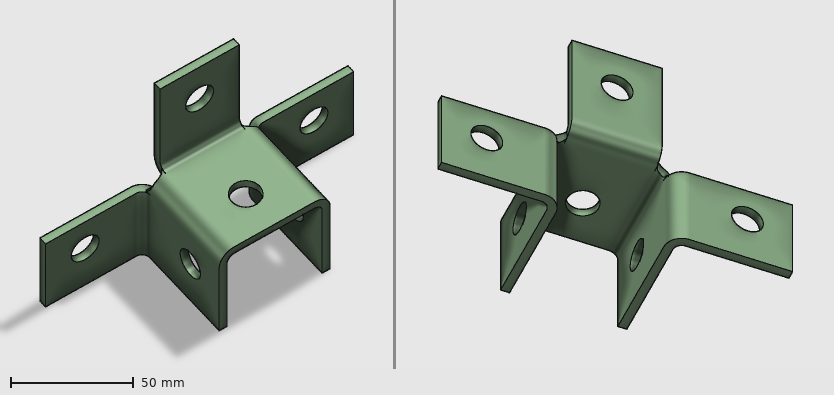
import cadquery as cq
import math

thickness = 4.0
inner_radius = 3.935
panel_width = 39.97
tab_reach = 49.715
hole_diameter = 14.0
hole_edge_distance = 20.0
wall_hole_height = 23.1
relief_radius = 3.6
relief_arc_steps = 8
relief_overshoot = 1.0
neck_start = 5.1

outer_radius = inner_radius + thickness
half_panel = panel_width / 2
half_channel = half_panel + outer_radius
length = panel_width + 2 * outer_radius
height = panel_width + outer_radius
wall_y = half_channel - thickness
roof_z = height - thickness
hole_x = length - hole_edge_distance
tip_z = thickness + tab_reach
mean_radius = (inner_radius + outer_radius) / 2
bend_arc_length = mean_radius * math.pi / 2


def flanged_panel():
    """Roof-like panel in local axes: sheet on Z = 0 to thickness, bent up into a tab at X = 0."""
    bend_centre_z = outer_radius
    bend_middle = math.radians(225)
    middle_x = outer_radius + inner_radius * math.cos(bend_middle)
    middle_z = bend_centre_z + inner_radius * math.sin(bend_middle)
    outer_middle_x = outer_radius + outer_radius * math.cos(bend_middle)
    outer_middle_z = bend_centre_z + outer_radius * math.sin(bend_middle)
    return (
        cq.Workplane("XZ")
        .moveTo(length, 0)
        .lineTo(outer_radius, 0)
        .threePointArc((outer_middle_x, outer_middle_z), (0, bend_centre_z))
        .lineTo(0, tip_z)
        .lineTo(thickness, tip_z)
        .lineTo(thickness, bend_centre_z)
        .threePointArc((middle_x, middle_z), (outer_radius, thickness))
        .lineTo(length, thickness)
        .close()
        .extrude(half_panel, both=True)
    )


def panel_hole(x, y):
    """Hole through the sheet of a panel, in the panel's local axes."""
    return cq.Workplane("XY").center(x, y).circle(hole_diameter / 2).extrude(thickness)


def tab_hole(y):
    """Hole through the upright tab, in the panel's local axes."""
    return (
        cq.Workplane("YZ")
        .center(y, tip_z - hole_edge_distance)
        .circle(hole_diameter / 2)
        .extrude(thickness)
    )


def panel(hole_y):
    """Panel with a hole in its sheet and one in its tab, both at the same offset from mid-width."""
    return flanged_panel().cut(panel_hole(hole_x, hole_y)).cut(tab_hole(hole_y))


def roof():
    return panel(0).translate((0, 0, roof_z))


def wall():
    """Wall on the +Y side with its tab pointing along +Y."""
    hole_offset = half_panel - wall_hole_height
    return (
        panel(hole_offset)
        .rotate((0, 0, 0), (1, 0, 0), -90)
        .translate((0, wall_y, half_panel))
    )


def relief_outline():
    """Relief on the developed bend as (X, distance from the wall): two round ends and a straight."""
    lower_arc = []
    for step in range(relief_arc_steps + 1):
        around = math.pi / 2 * step / relief_arc_steps
        x = outer_radius - relief_radius * (1 - math.sin(around))
        lower_arc.append((x, relief_radius * (1 - math.cos(around))))
    upper_arc = [(x, bend_arc_length - run) for x, run in reversed(lower_arc)]
    return lower_arc + [(outer_radius, bend_arc_length / 2)] + upper_arc


def relief_edge(radius):
    """Relief outline wrapped around the channel bend at the given radius."""
    points = []
    for x, run in relief_outline():
        angle = run / mean_radius
        y = half_panel + radius * math.cos(angle)
        z = panel_width + radius * math.sin(angle)
        points.append(cq.Vector(x, y, z))
    return cq.Edge.makeSpline(points)


def channel_bend():
    """Bend joining the roof to the +Y wall, its -X end hollowed by the corner relief."""
    bend_length = length - neck_start
    quarter = cq.Workplane("YZ").rect(outer_radius, outer_radius, centered=False).extrude(bend_length)
    ring = cq.Workplane("YZ").circle(outer_radius).circle(inner_radius).extrude(bend_length)
    bend = ring.intersect(quarter).translate((neck_start, half_panel, panel_width))
    relief = cq.Face.makeRuledSurface(
        relief_edge(inner_radius - relief_overshoot),
        relief_edge(outer_radius + relief_overshoot),
    )
    pieces = bend.val().split(relief).Solids()
    return cq.Workplane(max(pieces, key=lambda piece: piece.Volume()))


right_side = wall().union(channel_bend())
left_side = right_side.mirror("XZ")
result = roof().union(right_side).union(left_side)